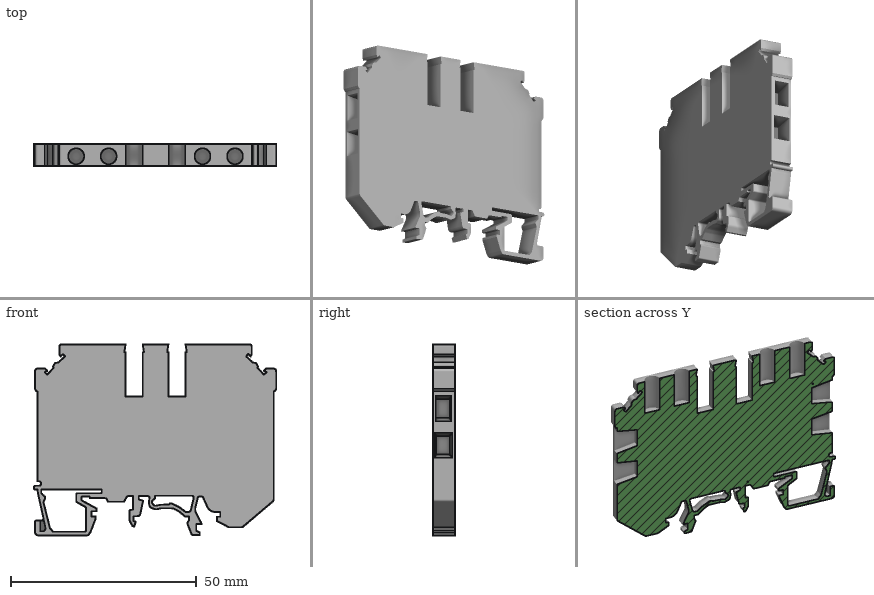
import cadquery as cq
import math


LENGTH = 65.35
THICKNESS = 6.0
HEIGHT = 51.52

EAR_INSET = 0.3
HALF_SPAN = (LENGTH - EAR_INSET) / 2
MID_X = LENGTH - HALF_SPAN
WALL_INSET = 0.65
HALF_BODY = HALF_SPAN - WALL_INSET
EAR_CHAMFER = 0.4

SLOT_INNER = 3.5
SLOT_WIDTH = 4.55
SLOT_OUTER = SLOT_INNER + SLOT_WIDTH
SLOT_FLOOR = 37.5
BARB_Z = 49.4
BARB_DEPTH = 0.35

SCREW_DIAMETER = 4.3
SCREW_DEPTH = 10.0
SCREW_OFFSETS = (12.65, 21.4)
SCREW_Y = 2.65

FUNNEL_DEPTH = 6.0
UPPER_FUNNEL = ((0.8, 5.0, 30.8, 37.7), (0.8, 4.5, 31.8, 36.7))
LOWER_FUNNEL = ((0.55, 5.2, 21.0, 27.7), (0.85, 4.5, 21.9, 26.8))

WEB_THICKNESS = 1.0

ARM_TOP = (1.1, 11.4)
ARM_FOOT = (3.22, 1.8)
ARM_WEB_Z = 4.6


def unit(start, end):
    """Unit direction and distance from start to end."""
    dx, dz = end[0] - start[0], end[1] - start[1]
    distance = math.hypot(dx, dz)
    return dx / distance, dz / distance, distance


def rounded_outline(corners):
    """Closed XZ outline through corners (x, z) or (x, z, radius); a radius rounds the corner."""
    path = None
    count = len(corners)
    for i, corner in enumerate(corners):
        x, z = corner[:2]
        radius = corner[2] if len(corner) > 2 else 0
        if radius == 0:
            path = path.lineTo(x, z) if path else cq.Workplane("XZ").moveTo(x, z)
            continue
        back_x, back_z, _ = unit(corner, corners[i - 1])
        next_x, next_z, _ = unit(corner, corners[(i + 1) % count])
        half_angle = math.acos(back_x * next_x + back_z * next_z) / 2
        setback = radius / math.tan(half_angle)
        middle_x, middle_z, _ = unit((0, 0), (back_x + next_x, back_z + next_z))
        to_arc = radius / math.sin(half_angle) - radius
        start = (x + setback * back_x, z + setback * back_z)
        middle = (x + to_arc * middle_x, z + to_arc * middle_z)
        end = (x + setback * next_x, z + setback * next_z)
        path = path.lineTo(*start) if path else cq.Workplane("XZ").moveTo(*start)
        path = path.threePointArc(middle, end)
    return path.close()


def prism(corners, y_start, y_end):
    """Solid with the given XZ outline between two Y positions."""
    outline = rounded_outline(corners)
    return outline.extrude(-(y_end - y_start)).translate((0, y_start, 0))


def arm_x(z):
    """X of the spring arm's outer face at height z."""
    fraction = (z - ARM_FOOT[1]) / (ARM_TOP[1] - ARM_FOOT[1])
    return ARM_FOOT[0] + fraction * (ARM_TOP[0] - ARM_FOOT[0])


def upper_half():
    """Upper corners of one half, end wall to tower, as (distance from mid plane, z, radius)."""
    end_wall_and_ear = [
        (HALF_BODY, 38.85),
        (HALF_SPAN - EAR_CHAMFER, 38.85),
        (HALF_SPAN, 39.5),
        (HALF_SPAN, 45.05, 0.8),
        (29.8, 45.05),
        (29.15, 44.4),
        (29.85, 44.0),
        (29.2, 43.4),
    ]
    marker_seat = [
        (27.5, 45.2),
        (27.65, 45.5),
        (27.1, 46.6, 0.9),
        (26.2, 46.65),
        (24.45, 48.3),
        (24.95, 48.9),
        (25.6, 48.25),
        (25.95, 48.9),
        (25.95, HEIGHT, 0.6),
    ]
    slot = [
        (SLOT_OUTER, HEIGHT),
        (SLOT_OUTER + BARB_DEPTH, BARB_Z),
        (SLOT_OUTER, BARB_Z),
        (SLOT_OUTER, SLOT_FLOOR),
        (SLOT_INNER, SLOT_FLOOR),
        (SLOT_INNER, BARB_Z),
        (SLOT_INNER - BARB_DEPTH, BARB_Z),
        (SLOT_INNER, HEIGHT),
    ]
    return end_wall_and_ear + marker_seat + slot


def upper_outline():
    """Upper corners from the left end wall over the top to the right end wall."""
    half = upper_half()
    left = [(MID_X - corner[0], *corner[1:]) for corner in half]
    right = [(MID_X + corner[0], *corner[1:]) for corner in reversed(half)]
    return left + right


def underside_outline():
    """Lower corners from the right end wall along the rail side to the left end wall."""
    right_heel = [
        (MID_X + HALF_BODY, 9.4, 0.8),
        (56.2, 2.2, 0.8),
        (52.6, 2.2, 0.4),
        (49.35, 3.9),
        (49.35, 5.1),
        (50.2, 5.1),
        (50.2, 6.3),
        (47.4, 6.3, 2.5),
        (45.5, 10.5, 0.5),
        (44.3, 10.5, 0.5),
    ]
    right_rail_claw = [
        (43.4, 6.8, 2.0),
        (45.3, 3.1),
        (43.8, 3.1),
        (43.8, 1.3),
        (44.8, 0.8),
        (44.8, 0.1),
        (42.6, 0.15, 0.4),
        (41.3, 3.4),
        (41.8, 4.1),
        (41.8, 5.1),
        (40.8, 5.1),
    ]
    spring_beam = [
        (39.1, 6.5, 2.0),
        (37.6, 7.3, 2.0),
        (34.2, 7.3),
        (32.9, 7.0, 0.8),
        (31.2, 7.6, 1.0),
        (31.0, 9.0),
        (31.2, 10.6, 0.4),
        (28.3, 10.6),
        (28.3, 9.75),
        (29.5, 9.4),
    ]
    centre_claw = [
        (28.6, 5.2, 0.8),
        (26.9, 5.2),
        (26.9, 4.0),
        (27.5, 3.7),
        (27.1, 2.4),
        (26.6, 2.55),
        (25.75, 4.1, 1.5),
        (25.75, 6.9, 0.4),
        (26.7, 7.0),
        (26.7, 10.6),
    ]
    belly = [
        (25.2, 10.6, 0.4),
        (24.3, 9.05, 0.4),
        (20.0, 9.05),
        (19.5, 10.05),
        (15.1, 10.1),
        (15.0, 10.5),
        (12.9, 10.5, 0.3),
        (12.9, 9.5, 0.3),
    ]
    foot = [
        (16.95, 7.3),
        (16.95, 6.5),
        (15.6, 6.5),
        (15.6, 5.15),
        (16.7, 5.15),
        (16.7, 4.5),
        (15.3, 0.9, 0.6),
        (14.6, 0.0, 0.8),
        (EAR_INSET, 0.0, 1.0),
        (EAR_INSET, 4.1, 0.5),
        (2.4, 4.1),
        (arm_x(ARM_WEB_Z), ARM_WEB_Z),
    ]
    latch = [
        ARM_TOP,
        (0.95, 12.35),
        (0.0, 12.35, 0.53),
        (0.0, 13.45, 0.53),
        (1.95, 13.45, 0.5),
        (1.95, 14.6, 0.5),
        (MID_X - HALF_BODY, 14.6),
    ]
    return right_heel + right_rail_claw + spring_beam + centre_claw + belly + foot + latch


def foot_window():
    """Opening between the foot, its spring arm and the body."""
    return [
        (2.05, 12.4),
        (18.3, 12.4, 0.2),
        (18.3, 11.45, 0.2),
        (11.4, 11.45, 0.4),
        (11.4, 9.1, 0.4),
        (14.05, 7.6, 0.4),
        (14.05, 1.05, 0.4),
        (5.2, 1.05),
        (4.4, 2.0),
        (2.65, 9.0, 0.3),
        (3.2, 10.3, 0.5),
        (2.05, 11.4),
    ]


def spring_window():
    """Opening above the curved spring beam."""
    return [
        (32.7, 10.7),
        (43.2, 10.7, 0.4),
        (42.2, 6.4, 0.7),
        (40.9, 6.4, 0.3),
        (39.2, 7.7, 2.0),
        (37.2, 8.65, 0.3),
        (36.7, 8.65),
        (36.4, 8.4),
        (34.2, 8.35),
        (32.6, 8.0, 0.6),
        (31.6, 9.1, 0.5),
        (32.7, 10.0),
    ]


def hook_relief():
    """Blind relief between the foot hook and the spring arm."""
    relief = [
        (1.75, ARM_WEB_Z),
        (1.75, 1.2),
        (2.75, 1.2),
        ARM_FOOT,
        (arm_x(ARM_WEB_Z), ARM_WEB_Z),
    ]
    return prism(relief, 0, THICKNESS - WEB_THICKNESS)


def screw_holes():
    """Blind screw holes, two on each side of the mirror plane."""
    centres = [(MID_X + side * offset, SCREW_Y) for side in (-1, 1) for offset in SCREW_OFFSETS]
    top = cq.Workplane("XY", origin=(0, 0, HEIGHT))
    return top.pushPoints(centres).circle(SCREW_DIAMETER / 2).extrude(-SCREW_DEPTH)


def funnel_section(x, bounds):
    """Rectangular funnel section at the given X."""
    y_min, y_max, z_min, z_max = bounds
    corners = [(y_min, z_min), (y_max, z_min), (y_max, z_max), (y_min, z_max)]
    return cq.Wire.makePolygon([cq.Vector(x, y, z) for y, z in corners], close=True)


def wire_funnel(side, mouth, floor):
    """Tapered wire entry in the left (-1) or right (+1) end wall."""
    mouth_x = MID_X + side * HALF_BODY
    floor_x = mouth_x - side * FUNNEL_DEPTH
    sections = [funnel_section(mouth_x, mouth), funnel_section(floor_x, floor)]
    return cq.Workplane(cq.Solid.makeLoft(sections, True))


def terminal_block():
    """Complete terminal block."""
    block = prism(upper_outline() + underside_outline(), 0, THICKNESS)
    for window in (foot_window(), spring_window()):
        block = block.cut(prism(window, 0, THICKNESS))
    block = block.cut(hook_relief())
    block = block.cut(screw_holes())
    for side in (-1, 1):
        for mouth, floor in (UPPER_FUNNEL, LOWER_FUNNEL):
            block = block.cut(wire_funnel(side, mouth, floor))
    return block


result = terminal_block()